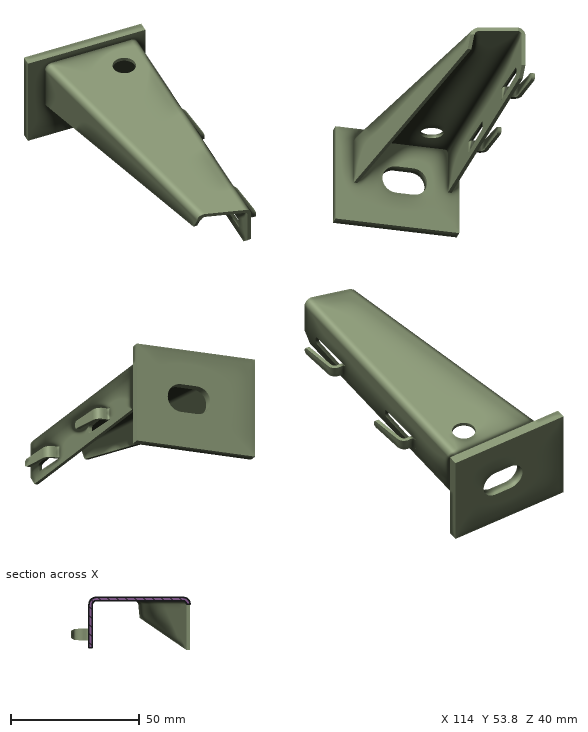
import cadquery as cq
import math

PLATE_THICKNESS = 4.0
PLATE_WIDTH = 50.0
PLATE_HEIGHT = 40.0
PLATE_SLOT_LENGTH = 18.0
PLATE_SLOT_HEIGHT = 11.4
PLATE_SLOT_Y = 3.0

ARM_END_X = 114.0
SHEET = 1.5
BEND_RADIUS = 2 * SHEET
ARM_TOP_Z = 17.0
BACK_Y = 21.9
BACK_BOTTOM_Z = -3.0
BACK_CORNER_CHAMFER = 4.0
FRONT_ROOT_Y = -17.8
FRONT_TIP_X = 109.2
FRONT_TIP_Y = 1.0
WEB_END_CUT_X = 109.2
FRONT_ROOT_BOTTOM_Z = -3.6
FRONT_END_BOTTOM_X = 106.6
FRONT_END_BOTTOM_Z = 8.9
FLANGE_ROOT_GAP = 0.3
WEB_HOLE_DIAMETER = 9.1
WEB_HOLE_X = 16.9
WEB_HOLE_Y = 10.4

TONGUE_START_X = 83.7
TONGUE_PITCH = 50.0
TONGUE_COUNT = 2
TONGUE_Z = 2.4
TONGUE_ROOT_FLAT = 0.8
TONGUE_ROOT_RADIUS = 0.9
TONGUE_BEND_RADIUS = 1.8
TONGUE_SLOPE = math.radians(5.5)
TONGUE_BLADE_LENGTH = 14.8
TONGUE_OVERHANG = 3.8
TONGUE_TOP_Y = PLATE_WIDTH / 2 + TONGUE_OVERHANG
TONGUE_CLEARANCE = 0.1
TONGUE_TIP_X = 103.2
TONGUE_TIP_ROUND = 1.5
WINDOW_END_X = 105.9
WINDOW_ROOT_WIDTH = 4.9
WINDOW_END_WIDTH = 3.3
WINDOW_END_ROUND = 1.1

SPAN = 2 * ARM_END_X


def make_plate():
    plate = cq.Workplane("XY").box(
        PLATE_THICKNESS, PLATE_WIDTH, PLATE_HEIGHT, centered=(False, True, True)
    )
    slot = (
        cq.Workplane("YZ")
        .center(PLATE_SLOT_Y, 0)
        .slot2D(PLATE_SLOT_LENGTH, PLATE_SLOT_HEIGHT)
        .extrude(PLATE_THICKNESS)
    )
    return plate.cut(slot)


def tapered_channel(inset, bend_radius):
    """Solid under the channel surface, moved inwards by inset, with rounded top edges."""
    slope = (FRONT_TIP_Y - FRONT_ROOT_Y) / (FRONT_TIP_X - PLATE_THICKNESS)
    front_shift = inset * math.hypot(1, slope)
    root_y = FRONT_ROOT_Y + front_shift
    end_y = root_y + slope * (ARM_END_X - PLATE_THICKNESS)
    back_y = BACK_Y - inset
    depth = ARM_TOP_Z - inset - FRONT_ROOT_BOTTOM_Z
    body = (
        cq.Workplane("XY", origin=(0, 0, FRONT_ROOT_BOTTOM_Z))
        .polyline([
            (PLATE_THICKNESS, root_y),
            (ARM_END_X, end_y),
            (ARM_END_X, back_y),
            (PLATE_THICKNESS, back_y),
        ])
        .close()
        .extrude(depth)
    )
    return body.faces(">Z").edges(">Y or <Y").fillet(bend_radius)


def side_profile(points, y_start, y_end):
    """Prism along Y from an outline of (X, Z) points."""
    return (
        cq.Workplane("XZ", origin=(0, y_start, 0))
        .polyline(points)
        .close()
        .extrude(y_start - y_end)
    )


def trim_flanges(channel):
    bend_z = ARM_TOP_Z - BEND_RADIUS
    back_inner_y = BACK_Y - BEND_RADIUS
    back_waste = side_profile(
        [
            (0, BACK_BOTTOM_Z),
            (ARM_END_X - BACK_CORNER_CHAMFER, BACK_BOTTOM_Z),
            (ARM_END_X, BACK_BOTTOM_Z + BACK_CORNER_CHAMFER),
            (ARM_END_X, -PLATE_HEIGHT),
            (0, -PLATE_HEIGHT),
        ],
        SPAN,
        back_inner_y,
    )
    flange_root_x = PLATE_THICKNESS + FLANGE_ROOT_GAP
    front_waste = side_profile(
        [
            (0, bend_z),
            (flange_root_x, bend_z),
            (flange_root_x, FRONT_ROOT_BOTTOM_Z),
            (FRONT_END_BOTTOM_X, FRONT_END_BOTTOM_Z),
            (WEB_END_CUT_X, bend_z),
            (ARM_END_X, bend_z),
            (ARM_END_X, -PLATE_HEIGHT),
            (0, -PLATE_HEIGHT),
        ],
        back_inner_y,
        -SPAN,
    )
    web_end_waste = (
        cq.Workplane("XY", origin=(0, 0, -PLATE_HEIGHT))
        .polyline([
            (ARM_END_X, back_inner_y),
            (WEB_END_CUT_X, FRONT_TIP_Y),
            (WEB_END_CUT_X, -SPAN),
            (SPAN, -SPAN),
            (SPAN, back_inner_y),
        ])
        .close()
        .extrude(2 * PLATE_HEIGHT)
    )
    return channel.cut(back_waste).cut(front_waste).cut(web_end_waste)


def tapered_outline(end_x, end_width, end_round, side_gap):
    """Prism along Y, tapering in Z from the tongue root to a rounded end."""
    root_half = WINDOW_ROOT_WIDTH / 2 - side_gap
    end_half = end_width / 2 - side_gap
    prism = side_profile(
        [
            (TONGUE_START_X, TONGUE_Z - root_half),
            (end_x, TONGUE_Z - end_half),
            (end_x, TONGUE_Z + end_half),
            (TONGUE_START_X, TONGUE_Z + root_half),
        ],
        SPAN,
        BACK_Y - BEND_RADIUS,
    )
    return prism.edges("|Y").edges(">X").fillet(end_round)


def make_window():
    return tapered_outline(WINDOW_END_X, WINDOW_END_WIDTH, WINDOW_END_ROUND, 0)


def make_tongue():
    """Strip that turns out of the flange, then bends again into a sloping blade."""
    root_outer = TONGUE_ROOT_RADIUS + SHEET
    bend_outer = TONGUE_BEND_RADIUS + SHEET
    root_x = TONGUE_START_X + TONGUE_ROOT_FLAT
    root_y = BACK_Y + TONGUE_ROOT_RADIUS
    bend_x = root_x + root_outer + TONGUE_BEND_RADIUS
    rise = bend_outer * math.cos(TONGUE_SLOPE) + TONGUE_BLADE_LENGTH * math.sin(TONGUE_SLOPE)
    bend_y = TONGUE_TOP_Y - rise
    blade_normal = math.pi / 2 + TONGUE_SLOPE
    bend_middle = (math.pi + blade_normal) / 2

    def root_point(radius, angle):
        return (root_x + radius * math.cos(angle), root_y + radius * math.sin(angle))

    def bend_point(radius, angle):
        return (bend_x + radius * math.cos(angle), bend_y + radius * math.sin(angle))

    def blade_tip(radius):
        x, y = bend_point(radius, blade_normal)
        return (
            x + TONGUE_BLADE_LENGTH * math.cos(TONGUE_SLOPE),
            y + TONGUE_BLADE_LENGTH * math.sin(TONGUE_SLOPE),
        )

    strip = (
        cq.Workplane("XY", origin=(0, 0, TONGUE_Z))
        .moveTo(TONGUE_START_X, BACK_Y - SHEET)
        .lineTo(root_x, BACK_Y - SHEET)
        .threePointArc(root_point(root_outer, -math.pi / 4), root_point(root_outer, 0))
        .lineTo(*bend_point(TONGUE_BEND_RADIUS, math.pi))
        .threePointArc(
            bend_point(TONGUE_BEND_RADIUS, bend_middle),
            bend_point(TONGUE_BEND_RADIUS, blade_normal),
        )
        .lineTo(*blade_tip(TONGUE_BEND_RADIUS))
        .lineTo(*blade_tip(bend_outer))
        .lineTo(*bend_point(bend_outer, blade_normal))
        .threePointArc(bend_point(bend_outer, bend_middle), bend_point(bend_outer, math.pi))
        .lineTo(*root_point(TONGUE_ROOT_RADIUS, 0))
        .threePointArc(
            root_point(TONGUE_ROOT_RADIUS, -math.pi / 4),
            root_point(TONGUE_ROOT_RADIUS, -math.pi / 2),
        )
        .lineTo(TONGUE_START_X, BACK_Y)
        .close()
        .extrude(WINDOW_ROOT_WIDTH, both=True)
    )
    outline = tapered_outline(TONGUE_TIP_X, WINDOW_END_WIDTH, TONGUE_TIP_ROUND, TONGUE_CLEARANCE)
    return strip.intersect(outline)


def make_arm():
    outer = tapered_channel(0, BEND_RADIUS)
    inner = tapered_channel(SHEET, BEND_RADIUS - SHEET)
    arm = trim_flanges(outer.cut(inner))
    hole = (
        cq.Workplane("XY")
        .center(WEB_HOLE_X, WEB_HOLE_Y)
        .circle(WEB_HOLE_DIAMETER / 2)
        .extrude(ARM_TOP_Z)
    )
    arm = arm.cut(hole)
    window = make_window()
    tongue = make_tongue()
    for index in range(TONGUE_COUNT):
        offset = (-index * TONGUE_PITCH, 0, 0)
        arm = arm.cut(window.translate(offset)).union(tongue.translate(offset))
    return arm


plate = make_plate()
arm = make_arm()
result = cq.Compound.makeCompound([plate.val(), *arm.vals()])